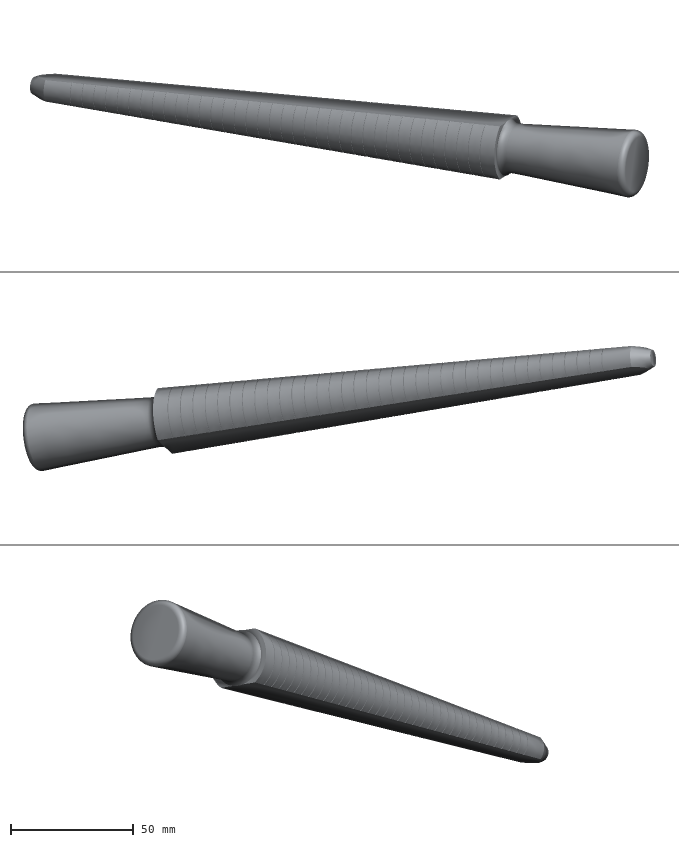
import cadquery as cq
import math

total_length = 269.5
tip_length = 7.5
blade_length = 212.0

tip_radius = 3.5
blade_start_radius = 6.7
blade_end_diameter = 28.3
blade_end_radius = blade_end_diameter / 2

flat_tip_height = 4.3
flat_end_height = 11.3

groove_count = 36
first_groove_x = 19.7
last_groove_x = 205.5
groove_pitch = (last_groove_x - first_groove_x) / (groove_count - 1)
groove_width = 0.4
groove_depth = 0.3

neck_length = 3.5
neck_radius = 10.2
neck_flare = 1.3
handle_end_diameter = 27.7
handle_end_radius = handle_end_diameter / 2
end_rounding = 2.5


def revolve_about_x(profile):
    """Turn a closed half profile around the X axis."""
    return profile.close().revolve(360, (0, 0, 0), (1, 0, 0))


def blade_radius(x):
    """Radius of the blade cone at position x."""
    slope = (blade_end_radius - blade_start_radius) / (blade_length - tip_length)
    return blade_start_radius + slope * (x - tip_length)


def make_blade_cone():
    """Long cone with a short, steeper cone at the tip."""
    profile = (
        cq.Workplane("XZ")
        .lineTo(0, tip_radius)
        .lineTo(tip_length, blade_start_radius)
        .lineTo(blade_length, blade_end_radius)
        .lineTo(blade_length, 0)
    )
    return revolve_about_x(profile)


def make_groove_cutter(x):
    """Ring that cuts one shallow groove centred at x."""
    return (
        cq.Workplane("YZ", origin=(x - groove_width / 2, 0, 0))
        .circle(blade_end_diameter)
        .circle(blade_radius(x) - groove_depth)
        .extrude(groove_width)
    )


def make_flat_envelope():
    """Wedge whose sloping faces form the two flats of the blade."""
    return (
        cq.Workplane("XZ")
        .polyline([
            (0, flat_tip_height),
            (blade_length, flat_end_height),
            (blade_length, -flat_end_height),
            (0, -flat_tip_height),
        ])
        .close()
        .extrude(blade_end_diameter, both=True)
    )


def make_blade():
    """Grooved cone trimmed by the flats."""
    blade = make_blade_cone()
    for index in range(groove_count):
        blade = blade.cut(make_groove_cutter(first_groove_x + index * groove_pitch))
    return blade.intersect(make_flat_envelope())


def make_handle():
    """Handle profile from the rounded end back to the neck, turned around X."""
    rounding_x = total_length - end_rounding
    rounding_radius = handle_end_radius - end_rounding
    rounding_mid = end_rounding * math.sqrt(0.5)
    profile = (
        cq.Workplane("XZ")
        .moveTo(total_length, 0)
        .lineTo(total_length, rounding_radius)
        .threePointArc(
            (rounding_x + rounding_mid, rounding_radius + rounding_mid),
            (rounding_x, handle_end_radius),
        )
        .lineTo(blade_length + neck_length, neck_radius)
        .tangentArcPoint((blade_length, neck_radius + neck_flare), relative=False)
        .lineTo(blade_length, 0)
    )
    return revolve_about_x(profile)


result = make_blade().union(make_handle())